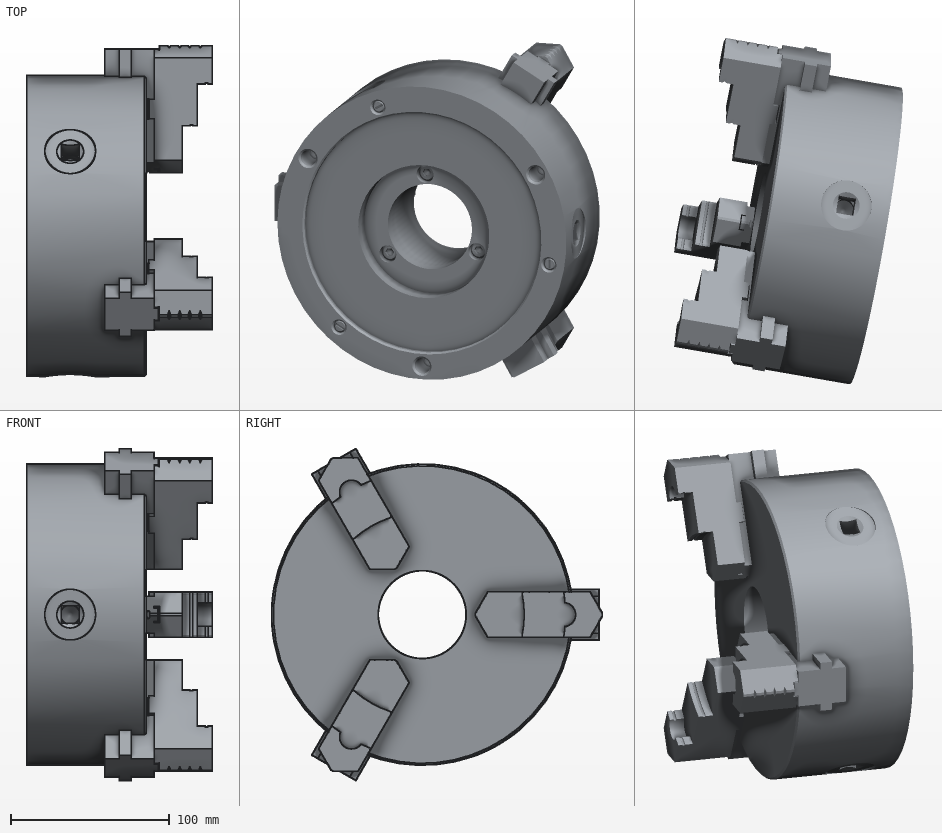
import cadquery as cq
import math


OVERALL_HEIGHT = 209.1

BODY_DIA = 189.9
BODY_LENGTH = 75.3
FRONT_CHAMFER = 1.3
REGISTER_DIA = 155.0
REGISTER_DEPTH = 4.2
REGISTER_CHAMFER = 1.0
RECESS_DIA = 86.2
RECESS_DEPTH = 13.5
BORE_DIA = 55.2
RECESS_FLOOR = REGISTER_DEPTH + RECESS_DEPTH
STATIONS = (0, 120, 240)

MOUNT_CIRCLE_RADIUS = 86.4
MOUNT_START_ANGLE = 30
MOUNT_DIA = 10.0
MOUNT_MOUTH_DIA = 12.5
MOUNT_DEPTH = 18.8
MOUNT_DRILL_DIA = 8.5
MOUNT_DRILL_DEPTH = 21.0

SET_SCREW_CIRCLE_RADIUS = 84.7
SET_SCREW_START_ANGLE = 70
SET_SCREW_HOLE_DIA = 8.0
SET_SCREW_MOUTH_DIA = 10.0
SET_SCREW_RECESS = 1.7
SET_SCREW_TOP_DIA = 6.0
SCREW_SLOT_ANGLE = 80
SCREW_SLOT_WIDTH = 1.5
SCREW_SLOT_DEPTH = 1.7

CAP_SCREW_CIRCLE_RADIUS = 33.9
CAP_SCREW_START_ANGLE = 84.6
COUNTERBORE_DIA = 11.0
COUNTERBORE_DEPTH = 4.2
HEAD_TOP_DIA = 8.5
SOCKET_FLATS = 5.0
SOCKET_DEPTH = 3.0

PINION_X = 27.4
PINION_START_ANGLE = 60
PINION_DIA = 32.0
PINION_MOUTH_DIA = 17.0
PINION_SQUARE = 11.0
PINION_SQUARE_DEPTH = 14.6
PINION_DRILL_DIA = 12.3
PINION_DRILL_DEPTH = 18.8
PINION_MOUTH_DEPTH = 1.7

DRILL_POINT_ANGLE = 118

MASTER_START_X = 49.1
MASTER_END_X = 80.3
MASTER_WIDTH = 23.2
MASTER_OUTER_RADIUS = 111.5
GUIDE_START_X = 58.1
GUIDE_END_X = 65.9
GUIDE_WIDTH = 2 * (OVERALL_HEIGHT - 2 * MASTER_OUTER_RADIUS * math.sin(math.radians(60)))
TONGUE_WIDTH = 8.5
TONGUE_HEIGHT = 2.5
TONGUE_GAP = 0.73

JAW_WIDTH = 28.6
JAW_INNER_RADIUS = 33.5
JAW_OUTER_RADIUS = 113.5
RIDGE_WIDTH = 1.7
RIDGE_SLOPE = 30
STEP_XS = (98.0, 107.5)
JAW_END_X = 117.0
STEP_RADII = (63.0, 89.3)
STEP_MARGIN = 1.3
STEP_GROOVE_XS = (103.7, 113.3)
GROOVE_DIA = 1.9
OUTER_GROOVE_WIDTH = 1.9
OUTER_GROOVE_DEPTH = 1.3
OUTER_GROOVE_XS = (89.7, 96.5, 102.7, 109.4)
INNER_GROOVE_X = 76.5
JAW_SCREW_DIA = 15.0
JAW_SCREW_RADIUS = 89.0

KEY_INNER_RADIUS = 67.3
KEY_OUTER_RADIUS = 79.9
KEY_HEIGHT = 3.3
KEY_GAP = 0.8


def disc(diameter, start, length):
    """Cylinder on the X axis."""
    return cq.Workplane("YZ", origin=(start, 0, 0)).circle(diameter / 2).extrude(length)


def cone(start_dia, end_dia, start, length):
    """Cone or cone frustum on the X axis."""
    solid = cq.Solid.makeCone(start_dia / 2, end_dia / 2, length, cq.Vector(start, 0, 0), cq.Vector(1, 0, 0))
    return cq.Workplane(obj=solid)


def drill_point(diameter, start):
    """Conical bottom of a drilled hole on the X axis."""
    return cone(diameter, 0, start, diameter / 2 / math.tan(math.radians(DRILL_POINT_ANGLE / 2)))


def mouth_chamfer(mouth_dia, hole_dia, start):
    """45 degree countersink on the X axis."""
    return cone(mouth_dia, hole_dia, start, (mouth_dia - hole_dia) / 2)


def block(x_range, radius_range, width):
    """Box along +Y, centred on Z = 0, between two X values and two radii."""
    x_start, x_end = x_range
    inner, outer = radius_range
    return (
        cq.Workplane("XY")
        .box(x_end - x_start, outer - inner, width, centered=(False, False, True))
        .translate((x_start, inner, 0))
    )


def inner_ridge_groove():
    """Round cutter across the inner ridge of a master jaw."""
    groove = cq.Workplane("XY", origin=(INNER_GROOVE_X, JAW_INNER_RADIUS, 0)).circle(GROOVE_DIA / 2)
    return groove.extrude(JAW_WIDTH / 2, both=True)


def outer_ridge_groove(x):
    """V-shaped cutter across the outer ridge of a top jaw."""
    half_width = OUTER_GROOVE_WIDTH / 2
    outline = [
        (x - half_width, JAW_OUTER_RADIUS),
        (x, JAW_OUTER_RADIUS - OUTER_GROOVE_DEPTH),
        (x + half_width, JAW_OUTER_RADIUS),
    ]
    return cq.Workplane("XY").polyline(outline).close().extrude(JAW_WIDTH / 2, both=True)


def repeat_around(shape, start_angle):
    """The shape, turned from +Y to each of the three stations."""
    copies = cq.Workplane("XY")
    for station in STATIONS:
        copies = copies.add(shape.rotate((0, 0, 0), (1, 0, 0), start_angle + station))
    return copies.combine()


def make_body():
    body = disc(BODY_DIA, 0, BODY_LENGTH).faces(">X").chamfer(FRONT_CHAMFER)
    register_mouth = REGISTER_DIA + 2 * REGISTER_CHAMFER
    body = body.cut(disc(REGISTER_DIA, 0, REGISTER_DEPTH))
    body = body.cut(mouth_chamfer(register_mouth, REGISTER_DIA, 0))
    body = body.cut(disc(RECESS_DIA, REGISTER_DEPTH, RECESS_DEPTH))
    return body.cut(disc(BORE_DIA, RECESS_FLOOR, BODY_LENGTH))


def mounting_hole():
    hole = disc(MOUNT_DIA, 0, MOUNT_DEPTH)
    hole = hole.union(disc(MOUNT_DRILL_DIA, 0, MOUNT_DRILL_DEPTH))
    hole = hole.union(drill_point(MOUNT_DRILL_DIA, MOUNT_DRILL_DEPTH))
    hole = hole.union(mouth_chamfer(MOUNT_MOUTH_DIA, MOUNT_DIA, 0))
    return hole.translate((0, MOUNT_CIRCLE_RADIUS, 0))


def set_screw_recess():
    """Space above a slotted screw, with the chamfered screw end and its slot."""
    screw_chamfer = (SET_SCREW_HOLE_DIA - SET_SCREW_TOP_DIA) / 2
    recess = disc(SET_SCREW_HOLE_DIA, 0, SET_SCREW_RECESS + screw_chamfer)
    recess = recess.union(mouth_chamfer(SET_SCREW_MOUTH_DIA, SET_SCREW_HOLE_DIA, 0))
    recess = recess.cut(cone(SET_SCREW_TOP_DIA, SET_SCREW_HOLE_DIA, SET_SCREW_RECESS, screw_chamfer))
    half_length = SET_SCREW_TOP_DIA / 2
    slot_range = (SET_SCREW_RECESS, SET_SCREW_RECESS + SCREW_SLOT_DEPTH)
    slot = block(slot_range, (-half_length, half_length), SCREW_SLOT_WIDTH)
    slot = slot.rotate((0, 0, 0), (1, 0, 0), SCREW_SLOT_ANGLE)
    return recess.union(slot).translate((0, SET_SCREW_CIRCLE_RADIUS, 0))


def cap_screw_recess():
    """Counterbore above a screw head, with the chamfered head and its hexagon socket."""
    head_top = RECESS_FLOOR + COUNTERBORE_DEPTH
    head_chamfer = (COUNTERBORE_DIA - HEAD_TOP_DIA) / 2
    recess = disc(COUNTERBORE_DIA, RECESS_FLOOR, COUNTERBORE_DEPTH + head_chamfer)
    recess = recess.cut(cone(HEAD_TOP_DIA, COUNTERBORE_DIA, head_top, head_chamfer))
    socket = (
        cq.Workplane("YZ", origin=(head_top, 0, 0))
        .polygon(6, SOCKET_FLATS, circumscribed=True)
        .extrude(SOCKET_DEPTH)
        .union(drill_point(SOCKET_FLATS, head_top + SOCKET_DEPTH))
    )
    return recess.union(socket).translate((0, CAP_SCREW_CIRCLE_RADIUS, 0))


def pinion_recess():
    """Flat around a key pinion, with its countersunk square socket."""
    flat_radius = math.sqrt((BODY_DIA / 2) ** 2 - (PINION_DIA / 2) ** 2)
    recess = disc(PINION_DIA, flat_radius - BODY_DIA / 2, BODY_DIA / 2 - flat_radius)
    recess = recess.union(cone(PINION_MOUTH_DIA, PINION_SQUARE, 0, PINION_MOUTH_DEPTH))
    half_square = PINION_SQUARE / 2
    recess = recess.union(block((0, PINION_SQUARE_DEPTH), (-half_square, half_square), PINION_SQUARE))
    drill_length = PINION_DRILL_DEPTH - PINION_SQUARE_DEPTH
    recess = recess.union(disc(PINION_DRILL_DIA, PINION_SQUARE_DEPTH, drill_length))
    recess = recess.union(drill_point(PINION_DRILL_DIA, PINION_DRILL_DEPTH))
    return recess.rotate((0, 0, 0), (0, 0, 1), -90).translate((PINION_X, flat_radius, 0))


def pointed_prism(x_range):
    """Blank of a jaw's full width, with a ridge at its inner and outer ends."""
    half_ridge = RIDGE_WIDTH / 2
    half_width = JAW_WIDTH / 2
    ridge_drop = (half_width - half_ridge) * math.tan(math.radians(RIDGE_SLOPE))
    x_start, x_end = x_range
    outline = [
        (JAW_INNER_RADIUS, half_ridge),
        (JAW_INNER_RADIUS + ridge_drop, half_width),
        (JAW_OUTER_RADIUS - ridge_drop, half_width),
        (JAW_OUTER_RADIUS, half_ridge),
    ]
    mirrored = [(radius, -side) for radius, side in reversed(outline)]
    profile = cq.Workplane("YZ", origin=(x_start, 0, 0)).polyline(outline + mirrored).close()
    return profile.extrude(x_end - x_start)


def inner_pointed_block(x_range, width):
    """Box from the inner ridge to the outer end of the master jaw."""
    bar = block(x_range, (JAW_INNER_RADIUS, MASTER_OUTER_RADIUS), width)
    inner_part = pointed_prism(x_range).intersect(bar)
    middle_radius = (JAW_INNER_RADIUS + JAW_OUTER_RADIUS) / 2
    outer_part = block(x_range, (middle_radius, MASTER_OUTER_RADIUS), width)
    return inner_part.union(outer_part)


def make_master_jaw():
    jaw = inner_pointed_block((MASTER_START_X, MASTER_END_X), MASTER_WIDTH)
    guide_inner = BODY_DIA / 2 - GUIDE_WIDTH / 2
    jaw = jaw.union(block((GUIDE_START_X, GUIDE_END_X), (guide_inner, MASTER_OUTER_RADIUS), GUIDE_WIDTH))
    key_slot_floor = MASTER_END_X - KEY_HEIGHT - KEY_GAP
    jaw = jaw.cut(block((key_slot_floor, MASTER_END_X), (KEY_INNER_RADIUS, KEY_OUTER_RADIUS), MASTER_WIDTH))
    jaw = jaw.union(inner_pointed_block((MASTER_END_X, MASTER_END_X + TONGUE_HEIGHT), TONGUE_WIDTH))
    return jaw.cut(inner_ridge_groove())


def gripping_step(start_x, radius, groove_x):
    """Space inside a step: flat margins, an arc about the chuck axis and a round groove along it."""
    x_range = (start_x, JAW_END_X)
    half_arc_width = JAW_WIDTH / 2 - STEP_MARGIN
    arc_radius = math.hypot(radius, half_arc_width)
    arc = disc(2 * arc_radius, start_x, JAW_END_X - start_x)
    arc = arc.intersect(block(x_range, (0, arc_radius), 2 * half_arc_width))
    ring = cq.Solid.makeTorus(arc_radius, GROOVE_DIA / 2, cq.Vector(groove_x, 0, 0), cq.Vector(1, 0, 0))
    groove = block(x_range, (0, JAW_OUTER_RADIUS), JAW_WIDTH).intersect(cq.Workplane(obj=ring))
    return block(x_range, (0, radius), JAW_WIDTH).union(arc).union(groove)


def make_top_jaw():
    jaw = pointed_prism((MASTER_END_X, JAW_END_X))
    tongue_groove_end = MASTER_END_X + TONGUE_HEIGHT + TONGUE_GAP
    tongue_groove_width = TONGUE_WIDTH + 2 * TONGUE_GAP
    jaw = jaw.cut(block((MASTER_END_X, tongue_groove_end), (0, JAW_OUTER_RADIUS), tongue_groove_width))
    for start_x, radius, groove_x in zip(STEP_XS, STEP_RADII, STEP_GROOVE_XS):
        jaw = jaw.cut(gripping_step(start_x, radius, groove_x))
    screw_recess = disc(JAW_SCREW_DIA, STEP_XS[-1], JAW_END_X - STEP_XS[-1])
    jaw = jaw.cut(screw_recess.translate((0, JAW_SCREW_RADIUS, 0)))
    for groove_x in OUTER_GROOVE_XS:
        jaw = jaw.cut(outer_ridge_groove(groove_x))
    key_range = (MASTER_END_X - KEY_HEIGHT, MASTER_END_X)
    return jaw.union(block(key_range, (KEY_INNER_RADIUS, KEY_OUTER_RADIUS), JAW_WIDTH))


body = make_body()
body = body.cut(repeat_around(mounting_hole(), MOUNT_START_ANGLE))
body = body.cut(repeat_around(set_screw_recess(), SET_SCREW_START_ANGLE))
body = body.cut(repeat_around(cap_screw_recess(), CAP_SCREW_START_ANGLE))
body = body.cut(repeat_around(pinion_recess(), PINION_START_ANGLE))

jaw_set = make_master_jaw().union(make_top_jaw())
result = body.union(repeat_around(jaw_set, STATIONS[0]))